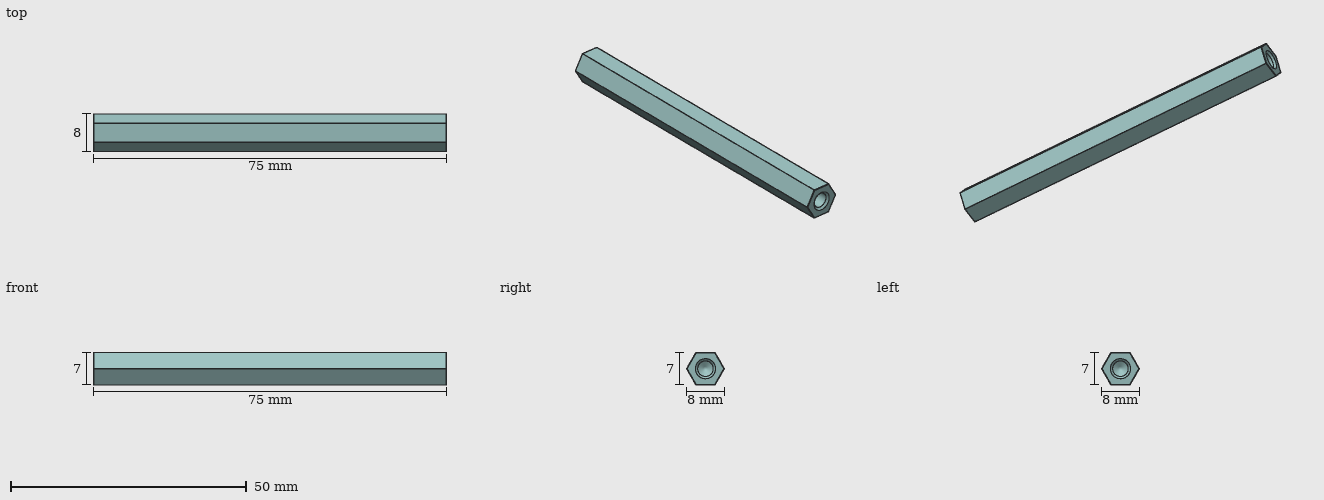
import cadquery as cq
import math

length = 75.0
across_flats = 7.0
across_corners = 8.0
end_chamfer = 0.11

hole_diameter = 3.3
hole_depth = 12.0
drill_point_angle = 118.0
countersink_diameter = 4.3
countersink_angle = 90.0


def hex_bar():
    """Hexagon with flats on +Z and -Z, corners turned to narrow lands, both ends chamfered."""
    sharp_corners = across_flats / math.cos(math.pi / 6)
    sharp_bar = cq.Workplane("YZ").polygon(6, sharp_corners).extrude(length)
    round_bar = cq.Workplane("YZ").circle(across_corners / 2).extrude(length)
    sharp_bar = sharp_bar.faces("<X or >X").chamfer(end_chamfer)
    round_bar = round_bar.faces("<X or >X").chamfer(end_chamfer)
    return sharp_bar.intersect(round_bar)


def end_hole():
    """Countersunk drilled hole entering the bar at X = 0."""
    hole_radius = hole_diameter / 2
    countersink_radius = countersink_diameter / 2
    countersink_depth = (countersink_radius - hole_radius) / math.tan(math.radians(countersink_angle / 2))
    point_depth = hole_radius / math.tan(math.radians(drill_point_angle / 2))
    half_profile = (
        cq.Workplane("XY")
        .moveTo(0, 0)
        .lineTo(0, countersink_radius)
        .lineTo(countersink_depth, hole_radius)
        .lineTo(hole_depth, hole_radius)
        .lineTo(hole_depth + point_depth, 0)
        .close()
    )
    return half_profile.revolve(360, (0, 0, 0), (1, 0, 0))


near_hole = end_hole()
far_hole = near_hole.mirror("YZ").translate((length, 0, 0))
result = hex_bar().cut(near_hole).cut(far_hole)